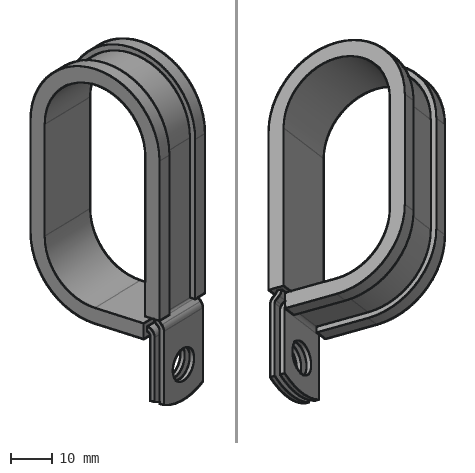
import cadquery as cq
import math

total_height = 87.5
total_length = 39.0
cushion_width = 18.9
cushion_length = 38.7
cushion_thickness = 4.3
cushion_bottom_z = 18.6
upright_end_z = 24.9
foot_end_x = 34.0
groove_width = 10.7
groove_depth = 1.6
strap_width = 16.2
strap_thickness = 1.3
bend_inner_radius = 1.0
jog_angle = math.radians(45)
tab_end_sagitta = 1.75
hole_diameter = 8.75
hole_z = 9.5

outer_radius = cushion_length / 2
upper_center_z = total_height - outer_radius
lower_center_z = cushion_bottom_z + outer_radius
bend_outer_radius = bend_inner_radius + strap_thickness
tab_end_radius = ((strap_width / 2) ** 2 + tab_end_sagitta**2) / (2 * tab_end_sagitta)


def extrude_centered(profile, width):
    """Extrude an XZ profile equally to both sides of the Y = 0 plane."""
    return profile.extrude(width / 2, both=True)


def loop_band(outer_inset, inner_inset, width):
    """Open J-shaped loop between two insets from the outside of the cushion."""
    outer = outer_radius - outer_inset
    inner = outer_radius - inner_inset
    mid_x = outer_radius
    profile = (
        cq.Workplane("XZ")
        .moveTo(mid_x + outer, upright_end_z)
        .lineTo(mid_x + outer, upper_center_z)
        .threePointArc((mid_x, upper_center_z + outer), (mid_x - outer, upper_center_z))
        .lineTo(mid_x - outer, lower_center_z)
        .radiusArc((mid_x, lower_center_z - outer), -outer)
        .lineTo(foot_end_x, lower_center_z - outer)
        .lineTo(foot_end_x, lower_center_z - inner)
        .lineTo(mid_x, lower_center_z - inner)
        .radiusArc((mid_x - inner, lower_center_z), inner)
        .lineTo(mid_x - inner, upper_center_z)
        .threePointArc((mid_x, upper_center_z + inner), (mid_x + inner, upper_center_z))
        .lineTo(mid_x + inner, upright_end_z)
        .close()
    )
    return extrude_centered(profile, width)


def foot_tab():
    """Strap leaving the bottom leg and turning straight down."""
    strap_bottom_z = cushion_bottom_z + groove_depth
    bend_center_z = strap_bottom_z - bend_inner_radius
    inner_x = foot_end_x + bend_inner_radius
    outer_x = foot_end_x + bend_outer_radius
    profile = (
        cq.Workplane("XZ")
        .moveTo(foot_end_x, strap_bottom_z)
        .lineTo(foot_end_x, strap_bottom_z + strap_thickness)
        .radiusArc((outer_x, bend_center_z), bend_outer_radius)
        .lineTo(outer_x, 0)
        .lineTo(inner_x, 0)
        .lineTo(inner_x, bend_center_z)
        .radiusArc((foot_end_x, strap_bottom_z), -bend_inner_radius)
        .close()
    )
    return extrude_centered(profile, strap_width)


def upright_tab():
    """Strap leaving the upright leg, jogging outward and running straight down."""
    start_outer_x = cushion_length - groove_depth
    start_inner_x = start_outer_x - strap_thickness
    tab_inner_x = total_length - strap_thickness
    sine = math.sin(jog_angle)
    cosine = math.cos(jog_angle)
    radius_sum = bend_inner_radius + bend_outer_radius
    slope_run = total_length - start_outer_x - radius_sum * (1 - cosine)
    slope_drop = slope_run / math.tan(jog_angle)
    jog_end_z = upright_end_z - radius_sum * sine - slope_drop

    upper_bend_x = start_outer_x + bend_inner_radius
    lower_bend_x = total_length - bend_outer_radius

    def upper_point(radius):
        return (upper_bend_x - radius * cosine, upright_end_z - radius * sine)

    def lower_point(radius):
        return (lower_bend_x + radius * cosine, jog_end_z + radius * sine)

    profile = (
        cq.Workplane("XZ")
        .moveTo(start_outer_x, upright_end_z)
        .radiusArc(upper_point(bend_inner_radius), -bend_inner_radius)
        .lineTo(*lower_point(bend_outer_radius))
        .radiusArc((total_length, jog_end_z), bend_outer_radius)
        .lineTo(total_length, 0)
        .lineTo(tab_inner_x, 0)
        .lineTo(tab_inner_x, jog_end_z)
        .radiusArc(lower_point(bend_inner_radius), -bend_inner_radius)
        .lineTo(*upper_point(bend_outer_radius))
        .radiusArc((start_inner_x, upright_end_z), bend_outer_radius)
        .close()
    )
    return extrude_centered(profile, strap_width)


def tab_outline():
    """Prism along X with the rounded lower end shared by both tabs."""
    half_width = strap_width / 2
    return (
        cq.Workplane("YZ")
        .moveTo(-half_width, total_height)
        .lineTo(-half_width, tab_end_sagitta)
        .radiusArc((half_width, tab_end_sagitta), -tab_end_radius)
        .lineTo(half_width, total_height)
        .close()
        .extrude(total_length)
    )


cushion = loop_band(0, cushion_thickness, cushion_width)
cushion = cushion.cut(loop_band(0, groove_depth, groove_width))

bolt_hole = cq.Workplane("YZ").center(0, hole_z).circle(hole_diameter / 2).extrude(total_length)
tabs = foot_tab().union(upright_tab()).intersect(tab_outline()).cut(bolt_hole)

result = cushion.union(tabs)